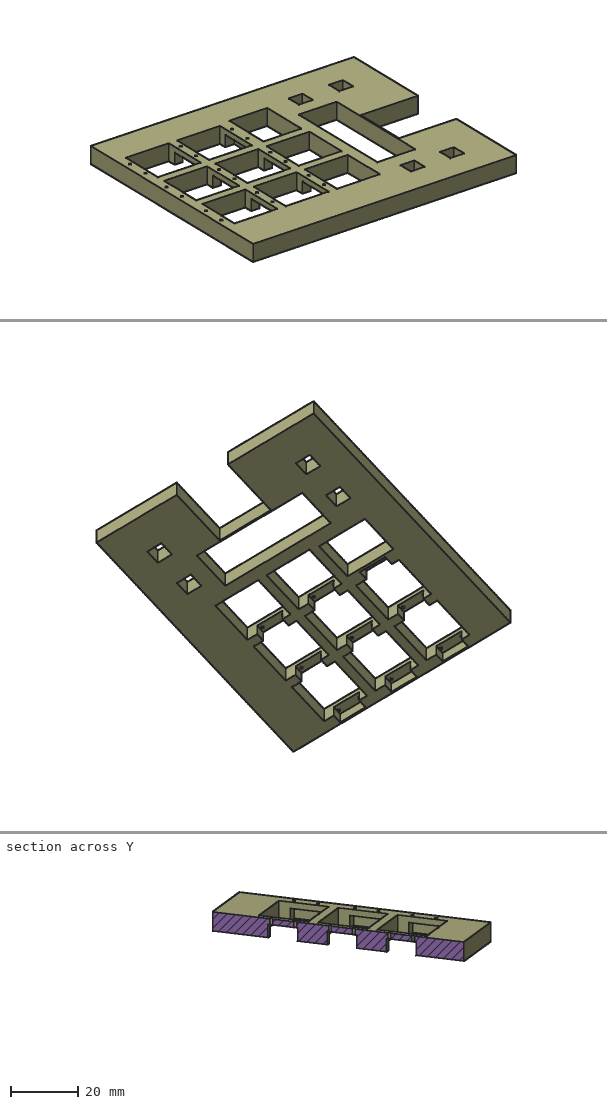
import cadquery as cq

PLATE_X = 80.5
PLATE_Y = 97.5
PLATE_Z = 6.0

NOTCH_LEFT = 31.8
NOTCH_WIDTH = 18.9
NOTCH_FRONT = 76.3

WINDOW_LEFT = 20.5
WINDOW_WIDTH = 39.0
WINDOW_FRONT = 61.7
WINDOW_DEPTH = 14.0

SMALL_SQUARE = 5.2
SMALL_SQUARE_CENTRES = [(12.8, 83.2), (67.8, 83.2), (12.8, 68.3), (67.8, 68.6)]

KEY_SIZE = 15.9
KEY_PITCH = 18.97
KEY_LEFT = 12.5
KEY_FRONT = 3.7
KEY_COUNT = 3

WIDE_KEY = (0, KEY_COUNT - 1)
WIDE_KEY_WIDTH = 17.0
WIDE_KEY_DEPTH = 14.0
WIDE_KEY_FRONT = 42.8

PIN_DIAMETER = 0.77
PIN_SPACING = 7.6
PAIR_FROM_KEY_LEFT = 7.6
PAIR_FROM_KEY_FRONT = 1.5
RECESS_WIDTH = 9.4
RECESS_DEPTH = 3.4
RECESS_ROOF = 1.95

WIDE_KEY_RECESS_SHIFT = -0.3

PAIR_OFFSETS = {
    (2, 1): (-0.2, 0.0),
    (0, 0): (0.3, 0.0),
    (1, 0): (-0.1, -0.4),
    (2, 0): (0.4, -0.4),
}


def block(left, front, width, depth, height=PLATE_Z):
    """Box standing on z = 0, placed by its left and front sides."""
    return cq.Workplane("XY").box(width, depth, height, centered=False).translate((left, front, 0))


def key_corner(column, row):
    """Front-left corner of a key position in the grid."""
    return KEY_LEFT + column * KEY_PITCH, KEY_FRONT + row * KEY_PITCH


def key_opening(column, row):
    left, front = key_corner(column, row)
    if (column, row) == WIDE_KEY:
        wide_left = left + KEY_SIZE - WIDE_KEY_WIDTH
        return block(wide_left, WIDE_KEY_FRONT, WIDE_KEY_WIDTH, WIDE_KEY_DEPTH)
    return block(left, front, KEY_SIZE, KEY_SIZE)


def pair_centre(column, row):
    """Regular midpoint between the two pin holes of a key."""
    left, front = key_corner(column, row)
    return left + PAIR_FROM_KEY_LEFT, front - PAIR_FROM_KEY_FRONT


def pin_holes(column, row):
    x, y = pair_centre(column, row)
    offset_x, offset_y = PAIR_OFFSETS.get((column, row), (0.0, 0.0))
    pair = cq.Workplane("XY").center(x + offset_x, y + offset_y).rarray(PIN_SPACING, 1, 2, 1)
    return pair.circle(PIN_DIAMETER / 2).extrude(PLATE_Z)


def pin_recess(column, row):
    x, y = pair_centre(column, row)
    if (column, row) == WIDE_KEY:
        x += WIDE_KEY_RECESS_SHIFT
    left = x - RECESS_WIDTH / 2
    front = y - RECESS_DEPTH / 2
    return block(left, front, RECESS_WIDTH, RECESS_DEPTH, PLATE_Z - RECESS_ROOF)


result = block(0, 0, PLATE_X, PLATE_Y)
result = result.cut(block(NOTCH_LEFT, NOTCH_FRONT, NOTCH_WIDTH, PLATE_Y - NOTCH_FRONT))
result = result.cut(block(WINDOW_LEFT, WINDOW_FRONT, WINDOW_WIDTH, WINDOW_DEPTH))
for centre_x, centre_y in SMALL_SQUARE_CENTRES:
    left_side = centre_x - SMALL_SQUARE / 2
    front_side = centre_y - SMALL_SQUARE / 2
    result = result.cut(block(left_side, front_side, SMALL_SQUARE, SMALL_SQUARE))

for key_column in range(KEY_COUNT):
    for key_row in range(KEY_COUNT):
        result = result.cut(key_opening(key_column, key_row))
        result = result.cut(pin_holes(key_column, key_row))
        result = result.cut(pin_recess(key_column, key_row))